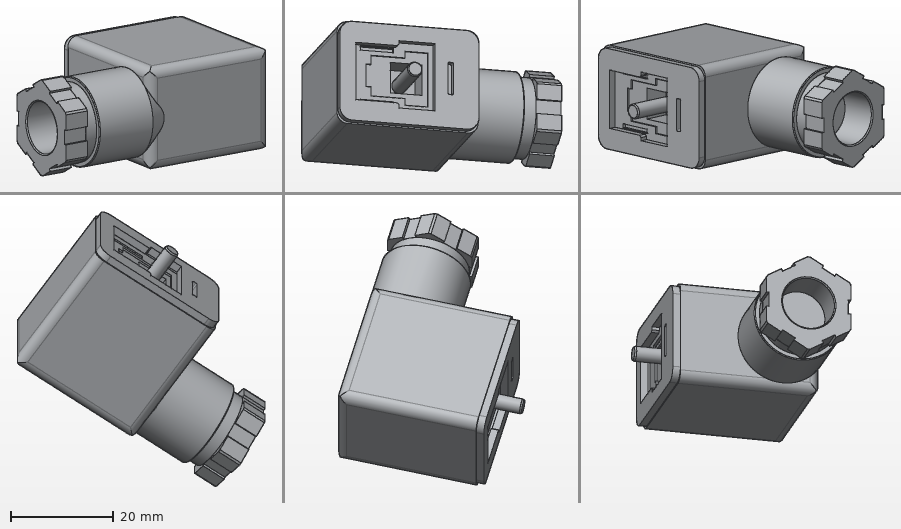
import cadquery as cq
import math


OVERALL_X = 35.5
OVERALL_Y = 48.8
OVERALL_Z = 20.8

BODY_Y = 28.55
BODY_END_X = 29.7
BODY_RADIUS = 2.05
FLANGE_THICKNESS = 1.5
FLANGE_INSET_Y = 0.2
FLANGE_INSET_Z = 0.3
FLANGE_RADIUS = 2.45

WINDOW_REAR_Y = 10.9
WINDOW_STEP_Y = 2.1
WINDOW_FRONT_Y = -5.1
WINDOW_NARROW_HALF = 5.85
WINDOW_WIDE_HALF = 6.9
WINDOW_STEP_CHAMFER = 0.4

CLEARANCE_FLOOR_X = 2.2
CLEARANCE_MARGIN = 1.0

RECESS_DEPTH = 0.4
RECESS_REAR_Y = 8.2
RECESS_SHOULDER_Y = 7.15
RECESS_STEP_Y = 0.3
RECESS_FRONT_Y = -4.3
RECESS_TONGUE_HALF = 2.3
RECESS_NARROW_HALF = 4.15
RECESS_WIDE_HALF = 5.5

GROOVE_REAR_Y = 9.35
GROOVE_FRONT_Y = 2.65
GROOVE_WIDTH = 0.85
GROOVE_DEPTH = 0.7

SHAFT_REAR_Y = 3.15
SHAFT_FRONT_Y = -3.25
SHAFT_HALF_Z = 3.1
SHAFT_DEPTH = 7.8

SLOT_Y = -8.35
SLOT_WIDTH = 1.05
SLOT_HEIGHT = 6.6
SLOT_CORNER_RADIUS = 0.3

SCREW_DIAMETER = 3.0
SCREW_PROTRUSION = 4.35
SCREW_CHAMFER_LENGTH = 0.35
SCREW_CHAMFER_RADIAL = 0.2

SLEEVE_DIAMETER = 18.0
SLEEVE_LENGTH = 12.65
SLEEVE_CHAMFER = 0.2
FAIRING_LENGTH = 3.6

NECK_DIAMETER = 16.0
NUT_LENGTH = 5.05
NUT_FLATS = 17.1
NUT_CORNER_DIAMETER = 19.4
NOTCH_WIDTH = 2.95
NOTCH_DEPTH = 0.55
BORE_DIAMETER = 10.5
BORE_CHAMFER = 0.25

HALF_Y = BODY_Y / 2
HALF_Z = OVERALL_Z / 2
SLEEVE_X = OVERALL_X - SCREW_PROTRUSION - SLEEVE_DIAMETER / 2
SLEEVE_END_Y = -HALF_Y - SLEEVE_LENGTH
NUT_END_Y = HALF_Y - OVERALL_Y
NUT_START_Y = NUT_END_Y + NUT_LENGTH


def box(x_range, y_range, z_range):
    """Axis-aligned box given by its limits."""
    limits = (x_range, y_range, z_range)
    sizes = [high - low for low, high in limits]
    corner = tuple(low for low, high in limits)
    return cq.Workplane("XY").box(*sizes, centered=False).translate(corner)


def symmetric_prism(half_outline, start_x, depth):
    """Prism along +X from the upper half of a (Y, Z) outline that is symmetric about Z = 0."""
    mirrored = [(y, -z) for y, z in reversed(half_outline)]
    return cq.Workplane("YZ", origin=(start_x, 0, 0)).polyline(half_outline + mirrored).close().extrude(depth)


def turned_along_y(points):
    """Solid of revolution about the sleeve axis from (radius, Y) points."""
    return (
        cq.Workplane("XY", origin=(SLEEVE_X, 0, 0))
        .polyline([(0, points[0][1])] + points + [(0, points[-1][1])])
        .close()
        .revolve(360, (0, 0, 0), (0, 1, 0))
    )


def make_body():
    """Block with round edges that meet in mitres: three crossed prisms in common."""
    x_range = (FLANGE_THICKNESS, BODY_END_X)
    block = box(x_range, (-HALF_Y, HALF_Y), (-HALF_Z, HALF_Z))
    end_rounded_in_plan = block.edges("|Z and >X").fillet(BODY_RADIUS)
    end_rounded_in_elevation = block.edges("|Y and >X").fillet(BODY_RADIUS)
    sides_rounded = block.edges("|X").fillet(BODY_RADIUS)
    return sides_rounded.intersect(end_rounded_in_plan).intersect(end_rounded_in_elevation)


def make_flange():
    flange_half_y = HALF_Y - FLANGE_INSET_Y
    flange_half_z = HALF_Z - FLANGE_INSET_Z
    plate = box((0, FLANGE_THICKNESS), (-flange_half_y, flange_half_y), (-flange_half_z, flange_half_z))
    return plate.edges("|X").fillet(FLANGE_RADIUS)


def cut_socket(part):
    """Window, clearance behind it, and the recess, screw shaft and grooves in the clearance floor."""
    window = symmetric_prism(
        [
            (WINDOW_REAR_Y, WINDOW_NARROW_HALF),
            (WINDOW_STEP_Y + WINDOW_STEP_CHAMFER, WINDOW_NARROW_HALF),
            (WINDOW_STEP_Y, WINDOW_NARROW_HALF + WINDOW_STEP_CHAMFER),
            (WINDOW_STEP_Y, WINDOW_WIDE_HALF),
            (WINDOW_FRONT_Y, WINDOW_WIDE_HALF),
        ],
        0,
        FLANGE_THICKNESS,
    )
    clearance_half_z = WINDOW_WIDE_HALF + CLEARANCE_MARGIN
    clearance = box(
        (FLANGE_THICKNESS, CLEARANCE_FLOOR_X),
        (WINDOW_FRONT_Y - CLEARANCE_MARGIN, WINDOW_REAR_Y + CLEARANCE_MARGIN),
        (-clearance_half_z, clearance_half_z),
    )
    recess = symmetric_prism(
        [
            (RECESS_REAR_Y, RECESS_TONGUE_HALF),
            (RECESS_SHOULDER_Y, RECESS_TONGUE_HALF),
            (RECESS_SHOULDER_Y, RECESS_NARROW_HALF),
            (RECESS_STEP_Y, RECESS_NARROW_HALF),
            (RECESS_STEP_Y, RECESS_WIDE_HALF),
            (RECESS_FRONT_Y, RECESS_WIDE_HALF),
        ],
        CLEARANCE_FLOOR_X,
        RECESS_DEPTH,
    )
    shaft = box((0, SHAFT_DEPTH), (SHAFT_FRONT_Y, SHAFT_REAR_Y), (-SHAFT_HALF_Z, SHAFT_HALF_Z))
    part = part.cut(window).cut(clearance).cut(recess).cut(shaft)

    groove_z_range = (WINDOW_NARROW_HALF - GROOVE_WIDTH, WINDOW_NARROW_HALF)
    groove_x_range = (CLEARANCE_FLOOR_X, CLEARANCE_FLOOR_X + GROOVE_DEPTH)
    groove = box(groove_x_range, (GROOVE_FRONT_Y, GROOVE_REAR_Y), groove_z_range)
    return part.cut(groove).cut(groove.mirror("XY"))


def cut_slot(part):
    slot = (
        cq.Workplane("YZ")
        .center(SLOT_Y, 0)
        .rect(SLOT_WIDTH, SLOT_HEIGHT)
        .extrude(FLANGE_THICKNESS)
        .edges("|X")
        .fillet(SLOT_CORNER_RADIUS)
    )
    return part.cut(slot)


def make_screw():
    radius = SCREW_DIAMETER / 2
    tip_radius = radius - SCREW_CHAMFER_RADIAL
    profile = [
        (-SCREW_PROTRUSION, 0),
        (-SCREW_PROTRUSION, tip_radius),
        (-SCREW_PROTRUSION + SCREW_CHAMFER_LENGTH, radius),
        (SHAFT_DEPTH, radius),
        (SHAFT_DEPTH, 0),
    ]
    return cq.Workplane("XY").polyline(profile).close().revolve(360, (0, 0, 0), (1, 0, 0))


def make_sleeve():
    """Sleeve and neck; the fairing cone runs out where it reaches the housing end face."""
    end_radius = SLEEVE_DIAMETER / 2
    return turned_along_y(
        [
            (BODY_END_X - SLEEVE_X, -HALF_Y + FAIRING_LENGTH),
            (end_radius, -HALF_Y),
            (end_radius, SLEEVE_END_Y + SLEEVE_CHAMFER),
            (end_radius - SLEEVE_CHAMFER, SLEEVE_END_Y),
            (NECK_DIAMETER / 2, SLEEVE_END_Y),
            (NECK_DIAMETER / 2, NUT_START_Y),
        ]
    )


def make_nut():
    """Hexagon nut with rounded-off corners and a notch across the middle of each flat."""
    hexagon_diameter = NUT_FLATS / math.cos(math.radians(30))
    nut_plane = cq.Workplane("XZ", origin=(SLEEVE_X, NUT_START_Y, 0))
    hexagon = nut_plane.transformed(rotate=(0, 0, 30)).polygon(6, hexagon_diameter).extrude(NUT_LENGTH)
    nut = hexagon.intersect(nut_plane.circle(NUT_CORNER_DIAMETER / 2).extrude(NUT_LENGTH))
    notches = (
        nut_plane.polarArray(NUT_FLATS / 2, 0, 360, 6)
        .rect(2 * NOTCH_DEPTH, NOTCH_WIDTH)
        .extrude(NUT_LENGTH)
    )
    return nut.cut(notches)


def make_bore():
    """Cable entry through the nut and neck, as far as the end of the sleeve."""
    radius = BORE_DIAMETER / 2
    return turned_along_y(
        [
            (radius, SLEEVE_END_Y),
            (radius, NUT_END_Y + BORE_CHAMFER),
            (radius + BORE_CHAMFER, NUT_END_Y),
        ]
    )


housing = make_body().union(make_flange()).union(make_sleeve()).union(make_nut())
housing = cut_slot(cut_socket(housing))
result = housing.union(make_screw()).cut(make_bore())